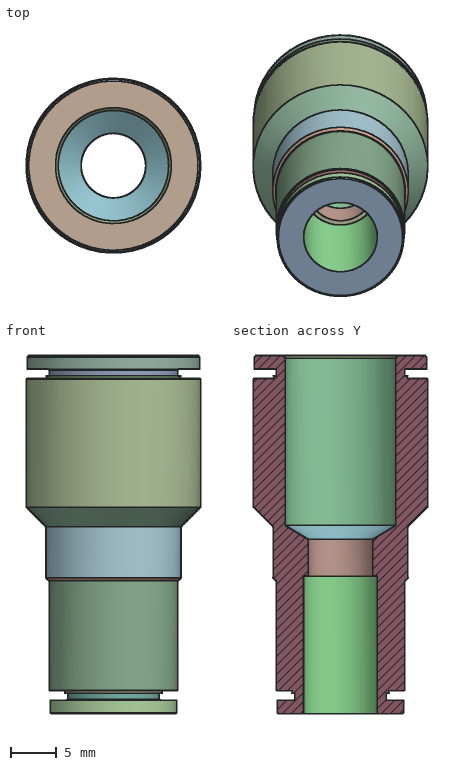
import cadquery as cq

total_length = 39.0
ring_thickness = 1.5
ring_gap = 1.0
collar_height = 0.25
taper_top = 22.5
stem_top = 14.5

body_bottom = ring_thickness + ring_gap
body_top = total_length - ring_thickness - ring_gap

body_diameter = 19.0
upper_ring_diameter = 18.8
upper_neck_diameter = 14.0
upper_collar_diameter = 14.6
waist_diameter = 14.74
stem_diameter = 14.0
lower_ring_diameter = 13.8
lower_neck_diameter = 10.0
lower_collar_diameter = 10.6
taper_bottom = taper_top - (body_diameter - waist_diameter) / 2

ring_chamfer = 0.2
body_chamfer = 0.1
stem_chamfer = 0.1
lower_ring_chamfer = 0.15
waist_chamfer = 0.3
mouth_chamfer = 0.3
neck_flare = 0.1

upper_bore_diameter = 12.0
lower_bore_diameter = 8.0
through_diameter = 7.0
upper_seat = 20.5
cone_depth = 1.5
lower_seat = 15.0


def disc(diameter, bottom, top):
    """Cylinder on the Z axis between two levels."""
    return cq.Workplane("XY").workplane(offset=bottom).circle(diameter / 2).extrude(top - bottom)


def cone(bottom_diameter, top_diameter, bottom, top):
    """Truncated cone on the Z axis between two levels."""
    return (
        cq.Workplane("XY").workplane(offset=bottom).circle(bottom_diameter / 2)
        .workplane(offset=top - bottom).circle(top_diameter / 2).loft(ruled=True)
    )


def make_body():
    """Stepped body: wide socket, 45 degree taper, waist and stem."""
    socket = disc(body_diameter, taper_top, body_top).faces(">Z").chamfer(body_chamfer)
    taper = cone(waist_diameter, body_diameter, taper_bottom, taper_top)
    waist = disc(waist_diameter, stem_top, taper_bottom).faces("<Z").chamfer(waist_chamfer)
    stem = disc(stem_diameter, body_bottom, stem_top).faces("<Z").chamfer(stem_chamfer)
    return socket.union(taper).union(waist).union(stem)


def make_upper_sleeve():
    """Release ring, neck and collar at the wide end."""
    ring_bottom = total_length - ring_thickness
    ring = disc(upper_ring_diameter, ring_bottom, total_length)
    ring = ring.faces(">Z").chamfer(ring_chamfer)
    neck = disc(upper_neck_diameter, body_top, ring_bottom)
    collar = disc(upper_collar_diameter, body_top, body_top + collar_height)
    flare_diameter = upper_neck_diameter + 2 * neck_flare
    flare = cone(upper_neck_diameter, flare_diameter, ring_bottom - neck_flare, ring_bottom)
    return ring.union(neck).union(collar).union(flare)


def make_lower_sleeve():
    """Release ring, neck and collar at the narrow end."""
    ring = disc(lower_ring_diameter, 0, ring_thickness).faces("<Z").chamfer(lower_ring_chamfer)
    neck = disc(lower_neck_diameter, ring_thickness, body_bottom)
    collar = disc(lower_collar_diameter, body_bottom - collar_height, body_bottom)
    flare_diameter = lower_neck_diameter + 2 * neck_flare
    flare = cone(flare_diameter, lower_neck_diameter, ring_thickness, ring_thickness + neck_flare)
    return ring.union(neck).union(collar).union(flare)


def make_bore():
    """Two tube sockets joined by a narrower passage."""
    passage = disc(through_diameter, 0, total_length)
    upper_socket = disc(upper_bore_diameter, upper_seat, total_length)
    seat = cone(through_diameter, upper_bore_diameter, upper_seat - cone_depth, upper_seat)
    mouth_diameter = upper_bore_diameter + 2 * mouth_chamfer
    mouth = cone(upper_bore_diameter, mouth_diameter, total_length - mouth_chamfer, total_length)
    lower_socket = disc(lower_bore_diameter, 0, lower_seat)
    return passage.union(upper_socket).union(seat).union(mouth).union(lower_socket)


result = make_body().union(make_upper_sleeve()).union(make_lower_sleeve()).cut(make_bore())